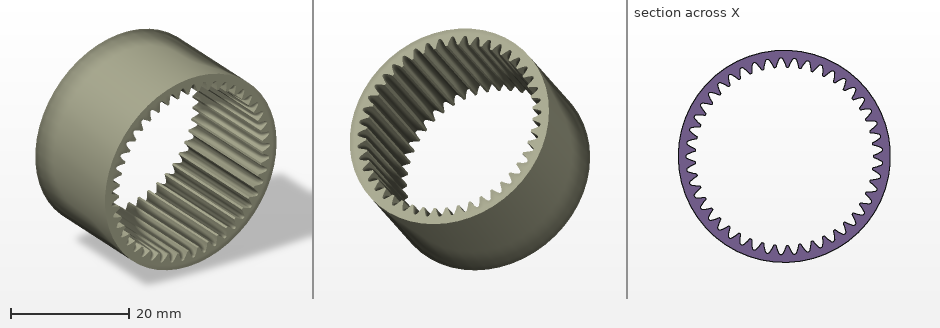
import cadquery as cq
import math

width = 20.0
outer_radius = 18.0
module = 0.7
tooth_count = 45
pressure_angle = math.radians(23.5)
pitch_space_width = 1.265
dedendum_factor = 1.25
root_round_depth = 0.175
flank_points = 5

pitch_radius = module * tooth_count / 2
base_radius = pitch_radius * math.cos(pressure_angle)
tip_radius = pitch_radius - module
root_radius = pitch_radius + dedendum_factor * module
flank_end_radius = root_radius - root_round_depth
tooth_pitch_angle = 2 * math.pi / tooth_count


def involute(angle):
    return math.tan(angle) - angle


def gap_half_angle(radius):
    """Half the angle a tooth gap spans at the given radius."""
    at_pitch = pitch_space_width / (2 * pitch_radius)
    return at_pitch + involute(pressure_angle) - involute(math.acos(base_radius / radius))


def polar(radius, angle):
    """Profile point at an angle measured from +Y towards +Z."""
    return (radius * math.cos(angle), radius * math.sin(angle))


def flank(gap_angle, side):
    """Involute points from tooth tip to gap bottom; side is -1 or +1 of the gap centre."""
    step = (flank_end_radius - tip_radius) / (flank_points - 1)
    radii = [tip_radius + i * step for i in range(flank_points)]
    return [polar(r, gap_angle + side * gap_half_angle(r)) for r in radii]


def tooth_profile():
    """Closed bore outline with one gap centred on +Y and one tooth centred on -Y."""
    profile = cq.Workplane("YZ").moveTo(*flank(0, -1)[0])
    for gap in range(tooth_count):
        gap_angle = gap * tooth_pitch_angle
        rising = flank(gap_angle, -1)
        falling = flank(gap_angle, 1)[::-1]
        next_gap_start = flank(gap_angle + tooth_pitch_angle, -1)[0]
        tooth_tip = polar(tip_radius, gap_angle + tooth_pitch_angle / 2)
        profile = (
            profile.spline(rising[1:], includeCurrent=True)
            .threePointArc(polar(root_radius, gap_angle), falling[0])
            .spline(falling[1:], includeCurrent=True)
            .threePointArc(tooth_tip, next_gap_start)
        )
    return profile.close()


ring = cq.Workplane("YZ").circle(outer_radius).extrude(width)
toothed_bore = tooth_profile().extrude(width)

result = ring.cut(toothed_bore)